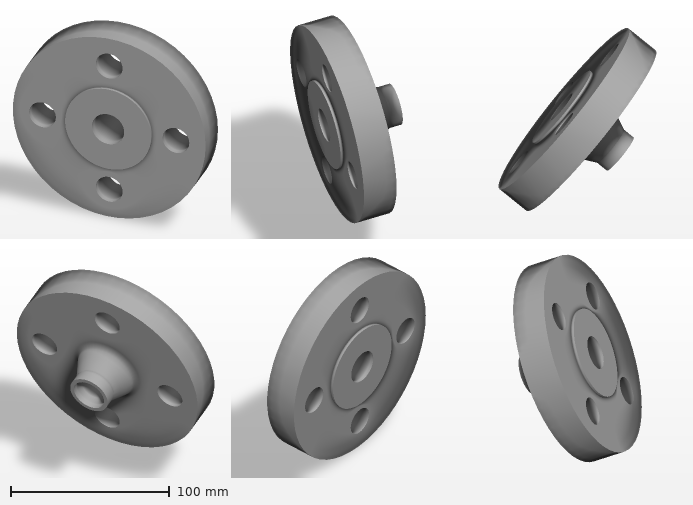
import cadquery as cq

flange_diameter = 130.0
flange_thickness = 22.0
face_diameter = 58.0
face_height = 2.0
overall_length = 48.0

bore_diameter = 21.7
neck_diameter = 26.9
neck_length = 8.0
hub_base_diameter = 42.0
hub_fillet_radius = 4.0

bolt_count = 4
bolt_circle_diameter = 90.0
bolt_hole_diameter = 18.0

flange_back = face_height + flange_thickness
hub_end = overall_length - neck_length


def along_axis(start):
    """Workplane normal to the flange axis, facing +Y, at the given station."""
    return cq.Workplane("XZ", origin=(0, start, 0)).transformed(rotate=(180, 0, 0))


def make_body():
    """Revolve the half section: raised face, flange plate, tapered hub and neck."""
    half_section = (
        cq.Workplane("XY")
        .moveTo(0, 0)
        .lineTo(face_diameter / 2, 0)
        .lineTo(face_diameter / 2, face_height)
        .lineTo(flange_diameter / 2, face_height)
        .lineTo(flange_diameter / 2, flange_back)
        .lineTo(hub_base_diameter / 2, flange_back)
        .lineTo(neck_diameter / 2, hub_end)
        .lineTo(neck_diameter / 2, overall_length)
        .lineTo(0, overall_length)
        .close()
    )
    return half_section.revolve(360, (0, 0, 0), (0, 1, 0))


def fillet_hub_root(body):
    """Blend the foot of the hub into the back of the flange plate."""
    margin = 0.5
    reach = hub_base_diameter / 2 + margin
    root_zone = cq.selectors.BoxSelector(
        (-reach, flange_back - margin, -reach),
        (reach, flange_back + margin, reach),
        boundingbox=True,
    )
    return body.edges(root_zone).fillet(hub_fillet_radius)


def make_bore():
    """Through bore on the flange axis."""
    return along_axis(0).circle(bore_diameter / 2).extrude(overall_length)


def make_bolt_holes():
    """Through holes evenly spaced on the bolt circle."""
    return (
        along_axis(face_height)
        .polarArray(bolt_circle_diameter / 2, 0, 360, bolt_count)
        .circle(bolt_hole_diameter / 2)
        .extrude(flange_thickness)
    )


body = fillet_hub_root(make_body())
result = body.cut(make_bore()).cut(make_bolt_holes())